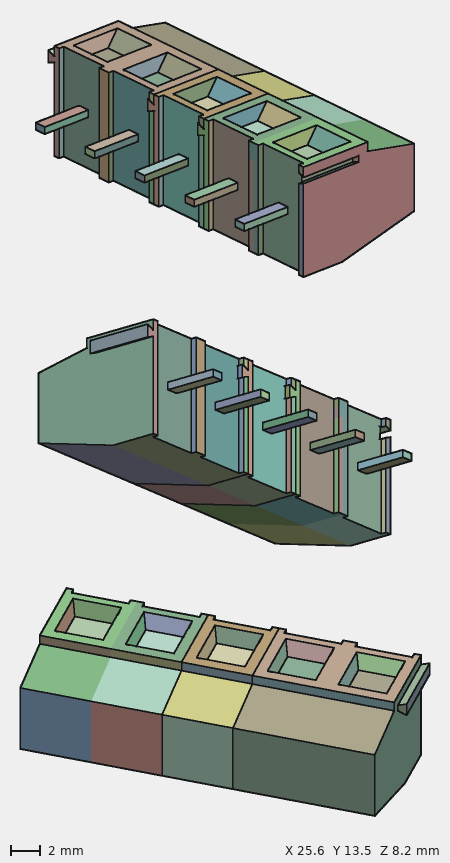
import cadquery as cq


TOTAL_LENGTH = 25.6
TOTAL_DEPTH = 13.5
HEIGHT = 8.2
POLE_COUNT = 5

TONGUE_LENGTH = 0.61
TONGUE_DEPTH = 5.0
TONGUE_ROOT_HEIGHT = 0.45
TONGUE_TIP_HEIGHT = 0.92
TONGUE_DROP = 1.0
TONGUE_Z = HEIGHT - TONGUE_DROP

PITCH = (TOTAL_LENGTH - TONGUE_LENGTH) / POLE_COUNT

BODY_DEPTH = 9.98
STEP_Y = 5.79
STEP_DROP = 0.7
REAR_TOP_DROP = 1.48
REAR_BOTTOM_RISE = 1.7
BASE_FLAT_DEPTH = 3.48

FOOT_WIDTH = 0.49
FOOT_HEIGHT = 0.4

POCKET_WIDTH = 3.4
POCKET_FRONT_Y = 1.02
POCKET_REAR_Y = 4.97
FLOOR_WIDTH = 2.76
FLOOR_FRONT_Y = 1.65
FLOOR_REAR_Y = 3.85
POCKET_DEPTH = 1.0

PIN_WIDTH = 0.92
PIN_THICKNESS = 0.55
PIN_LENGTH = TOTAL_DEPTH - BODY_DEPTH


def pole_centre(pole):
    return (pole + 0.5) * PITCH


def housing_block(first_pole, poles):
    """Plain housing: the stepped side profile extruded along the row."""
    return (
        cq.Workplane("YZ", origin=(first_pole * PITCH, 0, 0))
        .moveTo(0, 0)
        .lineTo(0, HEIGHT)
        .lineTo(STEP_Y, HEIGHT)
        .lineTo(STEP_Y, HEIGHT - STEP_DROP)
        .lineTo(BODY_DEPTH, HEIGHT - REAR_TOP_DROP)
        .lineTo(BODY_DEPTH, REAR_BOTTOM_RISE)
        .lineTo(BASE_FLAT_DEPTH, 0)
        .close()
        .extrude(poles * PITCH)
    )


def dovetail(root_x):
    """Dovetail prism that widens from its root towards -X."""
    return (
        cq.Workplane("XZ", origin=(root_x, 0, TONGUE_Z))
        .moveTo(0, TONGUE_ROOT_HEIGHT / 2)
        .lineTo(-TONGUE_LENGTH, TONGUE_TIP_HEIGHT / 2)
        .lineTo(-TONGUE_LENGTH, -TONGUE_TIP_HEIGHT / 2)
        .lineTo(0, -TONGUE_ROOT_HEIGHT / 2)
        .close()
        .extrude(-TONGUE_DEPTH)
    )


def wire_pocket(pole):
    """Tapered pocket volume that narrows from the top face to its floor."""
    floor_y = (FLOOR_FRONT_Y + FLOOR_REAR_Y) / 2
    mouth_y = (POCKET_FRONT_Y + POCKET_REAR_Y) / 2
    return (
        cq.Workplane("XY", origin=(pole_centre(pole), 0, HEIGHT - POCKET_DEPTH))
        .center(0, floor_y)
        .rect(FLOOR_WIDTH, FLOOR_REAR_Y - FLOOR_FRONT_Y)
        .workplane(offset=POCKET_DEPTH)
        .center(0, mouth_y - floor_y)
        .rect(POCKET_WIDTH, POCKET_REAR_Y - POCKET_FRONT_Y)
        .loft(ruled=True)
    )


def foot_relief(pole):
    """Full-height relief that leaves a foot on each side of the pole."""
    return cq.Workplane("XY").box(
        PITCH - 2 * FOOT_WIDTH, FOOT_HEIGHT, HEIGHT, centered=(True, False, False)
    ).translate((pole_centre(pole), 0, 0))


def solder_pin(pole):
    """Pin that stands on the relief face and reaches past the feet."""
    return cq.Workplane("XY").box(
        PIN_WIDTH, PIN_LENGTH + FOOT_HEIGHT, PIN_THICKNESS, centered=(True, False, True)
    ).translate((pole_centre(pole), -PIN_LENGTH, HEIGHT / 2))


def dovetailed_block(first_pole, poles):
    """Housing block with its tongue and its matching slot."""
    tongue = dovetail(first_pole * PITCH)
    slot = dovetail((first_pole + poles) * PITCH)
    return housing_block(first_pole, poles).cut(slot).union(tongue)


def terminal_module(first_pole, poles):
    """Complete module: dovetailed housing with the details of every pole."""
    module = dovetailed_block(first_pole, poles)
    for pole in range(first_pole, first_pole + poles):
        module = module.cut(foot_relief(pole))
        module = module.cut(wire_pocket(pole))
        module = module.union(solder_pin(pole))
    return module


double_module = terminal_module(0, 2)

single_module = terminal_module(2, 1)

left_half = terminal_module(3, 1)
right_half = terminal_module(4, 1).cut(foot_relief(3))
joined_module = left_half.union(right_half, clean=False)

result = cq.Compound.makeCompound(
    [
        double_module.solids().val(),
        single_module.solids().val(),
        joined_module.solids().val(),
    ]
)